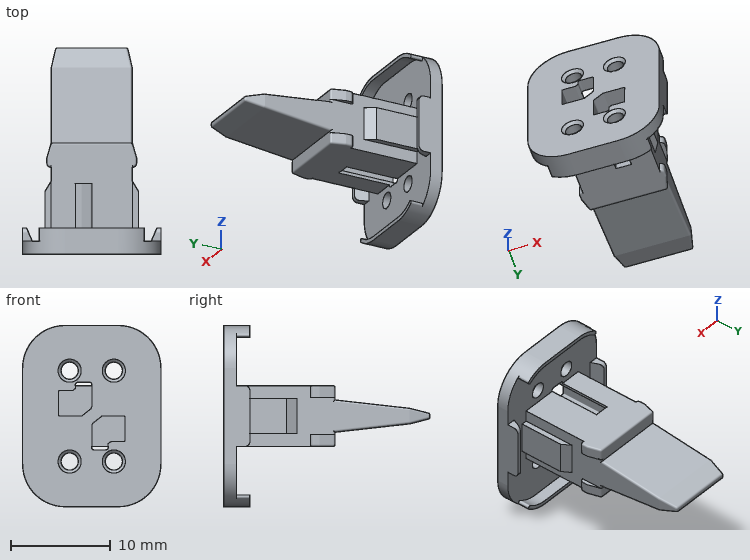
import cadquery as cq


FLANGE_WIDTH = 13.9
FLANGE_HEIGHT = 18.2
FLANGE_THICKNESS = 1.32
FLANGE_CORNER_RADIUS = 4.28
GUARD_TOP = 2 * FLANGE_THICKNESS
GUARD_THICKNESS = 0.41
GUARD_HALF_LENGTH = 5.28
CLAW_BASE_THICKNESS = 1.0
CLAW_CORNER_RADIUS = 0.54

BODY_WIDTH = 8.15
BODY_HEIGHT = 6.13
BODY_END = 11.18
PAD_RISE = 0.62
PAD_HEIGHT = 3.52
PAD_RAMP_START = 6.31
PAD_END = 7.35
BARB_RISE = 0.43
BARB_START = 8.71
BARB_PEAK_END = 9.67
BARB_INNER_Z = 1.85
EDGE_RADIUS = 0.2

TONGUE_END = 20.7
TONGUE_BEND = 18.7
TONGUE_ROOT = BODY_END - 2 * EDGE_RADIUS
ROOT_HALF_THICKNESS = 1.68
BEND_HALF_THICKNESS = 0.79
TIP_HALF_THICKNESS = 0.27
TIP_HALF_WIDTH = 3.6
TONGUE_EDGE_RADIUS = 0.23

HOLE_DIAMETER = 1.7
HOLE_MOUTH_DIAMETER = 2.32
HOLE_SPACING_X = 4.43
HOLE_SPACING_Z = 9.1

POCKET_DEPTH = 7.12
POCKET_WIDTH = 3.31
POCKET_HEIGHT = 2.57
LOBE_WIDTH = 1.64
LOBE_TOP = 3.37
POCKET_BEVEL_X = 1.01
POCKET_BEVEL_Z = 0.8
SHOULDER_BEVEL_X = 0.27
SHOULDER_BEVEL_Z = 0.2
BEVEL_TOP_RADIUS = 0.33
LOBE_CORNER_RADIUS = 0.2
POCKET_CORNER_RADIUS = 0.08

BODY_HALF_WIDTH = BODY_WIDTH / 2
BODY_HALF_HEIGHT = BODY_HEIGHT / 2


def box(width, y_start, y_end, height):
    """Box centred on the Y axis, reaching from y_start to y_end."""
    return cq.Workplane("XY").box(width, y_end - y_start, height).translate((0, (y_start + y_end) / 2, 0))


def extrude_in_z(points, half_height):
    return cq.Workplane("XY").polyline(points).close().extrude(half_height, both=True)


def mirrored(points):
    """Close a right-hand outline with its mirror image across the Y axis."""
    return points + [(-x, y) for x, y in reversed(points)]


def flange_block(inset, height):
    """Rounded flange outline, moved inwards by inset, from the front face up to height."""
    return (
        box(FLANGE_WIDTH - 2 * inset, 0, height, FLANGE_HEIGHT - 2 * inset)
        .edges("|Y")
        .fillet(FLANGE_CORNER_RADIUS - inset)
    )


def make_guards():
    """Walls along the two short flange edges, with fully rounded ends."""
    ring = flange_block(0, GUARD_TOP).cut(flange_block(GUARD_THICKNESS, GUARD_TOP))
    end_radius = GUARD_THICKNESS / 2
    end_center_x = GUARD_HALF_LENGTH - end_radius
    corner_center_x = FLANGE_WIDTH / 2 - FLANGE_CORNER_RADIUS
    corner_center_z = FLANGE_HEIGHT / 2 - FLANGE_CORNER_RADIUS
    middle_radius = FLANGE_CORNER_RADIUS - end_radius
    run = end_center_x - corner_center_x
    rise = (middle_radius**2 - run**2) ** 0.5
    reach = 2 * FLANGE_CORNER_RADIUS / middle_radius
    outer_x = corner_center_x + reach * run
    outer_z = corner_center_z + reach * rise
    sector = [(corner_center_x, corner_center_z), (outer_x, outer_z)]
    wedge = cq.Workplane("XZ").polyline(mirrored(sector)).close().extrude(-GUARD_TOP)
    guard = ring.intersect(wedge)
    for side in (-1, 1):
        round_end = (
            cq.Workplane("XZ")
            .center(side * end_center_x, corner_center_z + rise)
            .circle(end_radius)
            .extrude(-GUARD_TOP)
        )
        guard = guard.union(round_end)
    return guard.union(guard.mirror("XY"))


def make_claws():
    """Tapered walls at the two long flange edges."""
    outer_x = FLANGE_WIDTH / 2
    profile = [
        (outer_x, FLANGE_THICKNESS / 2),
        (outer_x, GUARD_TOP),
        (outer_x - GUARD_THICKNESS, GUARD_TOP),
        (outer_x - CLAW_BASE_THICKNESS, FLANGE_THICKNESS),
        (outer_x - CLAW_BASE_THICKNESS, FLANGE_THICKNESS / 2),
    ]
    claw = extrude_in_z(profile, BODY_HALF_HEIGHT)
    claw = claw.faces(">Y").edges("|X").fillet(CLAW_CORNER_RADIUS)
    return claw.union(claw.mirror("YZ"))


def make_head():
    """Body end, whose four corners carry barbs that leave the mid-height free."""
    barb_x = BODY_HALF_WIDTH + BARB_RISE
    outline = mirrored([(barb_x, BARB_START), (barb_x, BARB_PEAK_END), (BODY_HALF_WIDTH, BODY_END)])
    barbs = extrude_in_z(outline, BODY_HALF_HEIGHT)
    barbs = barbs.faces("<Y").edges("|Z").fillet(BARB_RISE)
    barbs = barbs.faces(">Y").edges("|Z").fillet(EDGE_RADIUS)
    barbs = barbs.faces(">Z or <Z").edges().fillet(EDGE_RADIUS)
    barbs = barbs.cut(box(2 * barb_x, BARB_START, BODY_END, 2 * BARB_INNER_Z))
    core = box(BODY_WIDTH, BARB_START, BODY_END, 2 * BARB_INNER_Z)
    core = core.faces(">Y").edges("|Z").fillet(EDGE_RADIUS)
    return core.union(barbs)


def make_body():
    body = box(BODY_WIDTH, 0, BARB_START + EDGE_RADIUS, BODY_HEIGHT)
    pad_x = BODY_HALF_WIDTH + PAD_RISE
    pad_outline = mirrored([(pad_x, 0), (pad_x, PAD_RAMP_START), (BODY_HALF_WIDTH, PAD_END)])
    pads = extrude_in_z(pad_outline, PAD_HEIGHT / 2)
    return body.union(pads).union(make_head())


def make_tongue():
    """Wedge that thins towards its tip and narrows beyond the bend."""
    plan = mirrored(
        [(BODY_HALF_WIDTH, TONGUE_ROOT), (BODY_HALF_WIDTH, TONGUE_BEND), (TIP_HALF_WIDTH, TONGUE_END)]
    )
    upper_side = [
        (TONGUE_ROOT, ROOT_HALF_THICKNESS),
        (TONGUE_BEND, BEND_HALF_THICKNESS),
        (TONGUE_END, TIP_HALF_THICKNESS),
    ]
    lower_side = [(y, -z) for y, z in reversed(upper_side)]
    wedge = cq.Workplane("YZ").polyline(upper_side + lower_side).close().extrude(BODY_HALF_WIDTH, both=True)
    tongue = extrude_in_z(plan, BODY_HALF_HEIGHT).intersect(wedge)
    return tongue.edges("(not (|X or |Z)) or >Y").fillet(TONGUE_EDGE_RADIUS)


def make_hole():
    """Cutter for one through hole with a 45 degree countersink at the front face."""
    mouth_depth = (HOLE_MOUTH_DIAMETER - HOLE_DIAMETER) / 2
    profile = [
        (0, 0),
        (HOLE_MOUTH_DIAMETER / 2, 0),
        (HOLE_DIAMETER / 2, mouth_depth),
        (HOLE_DIAMETER / 2, FLANGE_THICKNESS),
        (0, FLANGE_THICKNESS),
    ]
    return cq.Workplane("XY").polyline(profile).close().revolve(360, (0, 0, 0), (0, 1, 0))


def make_pocket():
    """Cutter for one bevelled pocket, whose lobe breaks out through the top of the body."""
    corners = [
        (-POCKET_WIDTH, 0, POCKET_CORNER_RADIUS),
        (-POCKET_BEVEL_X, 0, POCKET_CORNER_RADIUS),
        (0, POCKET_BEVEL_Z, BEVEL_TOP_RADIUS),
        (0, LOBE_TOP, LOBE_CORNER_RADIUS),
        (-LOBE_WIDTH, LOBE_TOP, LOBE_CORNER_RADIUS),
        (-LOBE_WIDTH, POCKET_HEIGHT + SHOULDER_BEVEL_Z, POCKET_CORNER_RADIUS),
        (-LOBE_WIDTH - SHOULDER_BEVEL_X, POCKET_HEIGHT, POCKET_CORNER_RADIUS),
        (-POCKET_WIDTH, POCKET_HEIGHT, POCKET_CORNER_RADIUS),
    ]
    outline = [(x, z) for x, z, radius in corners]
    pocket = cq.Workplane("XZ").polyline(outline).close().extrude(-POCKET_DEPTH)
    for x, z, radius in corners:
        corner_edge = cq.selectors.NearestToPointSelector((x, POCKET_DEPTH / 2, z))
        pocket = pocket.edges("|Y").edges(corner_edge).fillet(radius)
    return pocket


result = flange_block(0, FLANGE_THICKNESS)
for addition in (make_guards(), make_claws(), make_body(), make_tongue()):
    result = result.union(addition)

hole = make_hole()
for x in (-HOLE_SPACING_X / 2, HOLE_SPACING_X / 2):
    for z in (-HOLE_SPACING_Z / 2, HOLE_SPACING_Z / 2):
        result = result.cut(hole.translate((x, 0, z)))

pocket = make_pocket()
for turn in (0, 180):
    result = result.cut(pocket.rotate((0, 0, 0), (0, 1, 0), turn))